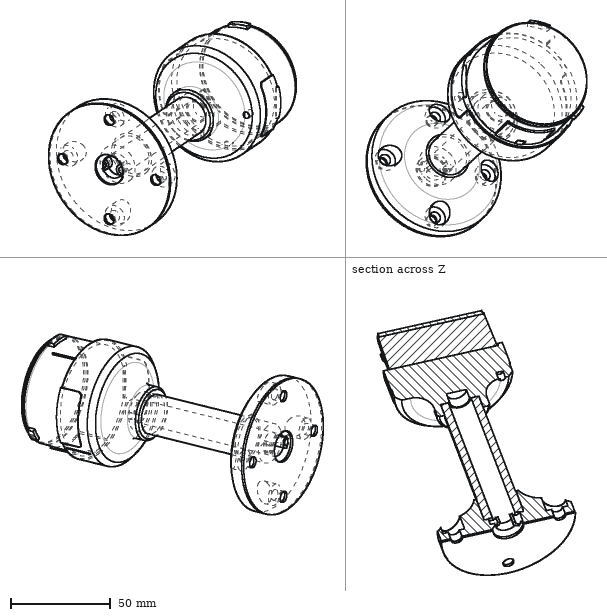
import cadquery as cq
import math


TOTAL_LENGTH = 141.0
FLANGE_RADIUS = 35.0

GASKET_THICKNESS = 1.3
RIM_TOP = 7.6
CONE_START_RADIUS = 32.1
CONE_START = 9.9
CONE_END_RADIUS = 20.3
CONE_END = 14.7
FLARE_MID_RADIUS = 15.1
FLARE_MID = 17.6
BASE_TOP_RADIUS = 11.5
BASE_TOP = 22.4
MOUNT_CIRCLE_RADIUS = 27.0
MOUNT_HOLE_COUNT = 4
MOUNT_HOLE_RADIUS = 2.8
HEAD_RECESS_RADIUS = 5.5
HEAD_RECESS_FLOOR = 5.6

CABLE_MOUTH_RADIUS = 8.0
CABLE_RADIUS = 5.8
BELL_PASSAGE_RADIUS = 5.1
MOUTH_DEPTH = 3.7
CABLE_END = 93.0

BOSS_RADIUS = 3.2
BOSS_OFFSET = 6.2
BOSS_HOLE_RADIUS = 1.8
BOSS_FACE = 2.4
DEEP_BOSS_FACE = 4.8

TUBE_RADIUS = 10.2
TUBE_START = 8.5
TUBE_END = 87.4

NECK_START = 79.7
NECK_RADIUS = 13.8
NECK_CHAMFER = 1.1
NECK_FLARE_START = 85.7
BELL_START = 95.3
BELL_CHAMFER = 3.0
BELL_RADIUS = 30.9
BELL_END = 116.7
BELL_EDGE_CHAMFER = 0.5
VENT_OFFSET = 24.4
VENT_RADIUS = 1.7
VENT_DEPTH = 4.2

PAD_RADIUS = 31.3
PAD_HALF_WIDTH = 14.8
PAD_START = 103.8
PAD_CORNER_RADIUS = 2.4
PAD_ROOT_RADIUS = 28.8
LATCH_END = 118.0
LATCH_WIDTH = 16.9
LATCH_OVERLAP = 1.4

GROOVE_ANGLE = 216.0
GROOVE_START = 100.7
GROOVE_END = 114.9
GROOVE_WIDTH = 0.4
GROOVE_DEPTH = 0.3

SLEEVE_BASE_RADIUS = 28.2
SLEEVE_TOP_RADIUS = 27.8
SLEEVE_TAPER_END = 137.9
SLEEVE_END = 138.7
CAP_RADIUS = 27.1
CAP_CHAMFER = 0.7
CAP_CHAMFER_START = 139.3

TAB_RADIUS = 29.6
TAB_START = 134.2
TAB_WIDTH = 10.7
SIDE_TAB_WIDTH = 7.3
TAB_ANGLE = 96.0
SIDE_TAB_ANGLE = 213.0
RIB_ANGLE = 117.3
RIB_RADIUS = 28.8
RIB_WIDTH = 0.5
RIB_END = 131.7
STOP_RADIUS = 29.2
PANEL_ANGLE = 270.0
STOP_WIDTH = 4.2
STOP_END = 121.0
PANEL_RADIUS = 28.9
PANEL_WIDTH = 25.4
PANEL_END = 133.4
LUG_ROOT_RADIUS = 24.0
TRIM_ALLOWANCE = 1.4


def cylinder(radius, start, end, x=0.0, z=0.0):
    """Cylinder along Y between two y positions."""
    return cq.Workplane("XZ", origin=(x, start, z)).circle(radius).extrude(start - end)


def revolved(profile):
    """Full turn of a closed (radius, y) profile around the Y axis."""
    return profile.close().revolve(360, (0, 0), (0, 1))


def radial_block(angle, width, inner_radius, outer_radius, start, end):
    """Block reaching outward at an angle in the XZ plane, with a round outer face."""
    block = (
        cq.Workplane("XY")
        .box(outer_radius - inner_radius + TRIM_ALLOWANCE, end - start, width, centered=(False, False, True))
        .translate((inner_radius, start, 0))
        .rotate((0, 0, 0), (0, 1, 0), -angle)
    )
    return block.intersect(cylinder(outer_radius, start, end))


def mount_positions():
    """(x, z) centres of the mounting holes."""
    for index in range(MOUNT_HOLE_COUNT):
        angle = 2 * math.pi * index / MOUNT_HOLE_COUNT
        yield MOUNT_CIRCLE_RADIUS * math.cos(angle), MOUNT_CIRCLE_RADIUS * math.sin(angle)


def cable_mouth():
    """Straight opening through the gasket, then a cone that narrows to the cable passage."""
    return revolved(
        cq.Workplane("XY")
        .moveTo(0, 0)
        .lineTo(CABLE_MOUTH_RADIUS, 0)
        .lineTo(CABLE_MOUTH_RADIUS, GASKET_THICKNESS)
        .lineTo(CABLE_RADIUS, MOUTH_DEPTH)
        .lineTo(0, MOUTH_DEPTH)
    )


def make_gasket():
    gasket = cylinder(FLANGE_RADIUS, 0, GASKET_THICKNESS).cut(cable_mouth())
    for x, z in mount_positions():
        gasket = gasket.cut(cylinder(MOUNT_HOLE_RADIUS, 0, GASKET_THICKNESS, x, z))
    return gasket


def make_base():
    base = revolved(
        cq.Workplane("XY")
        .moveTo(0, GASKET_THICKNESS)
        .lineTo(FLANGE_RADIUS, GASKET_THICKNESS)
        .lineTo(FLANGE_RADIUS, RIM_TOP)
        .lineTo(CONE_START_RADIUS, CONE_START)
        .lineTo(CONE_END_RADIUS, CONE_END)
        .threePointArc((FLARE_MID_RADIUS, FLARE_MID), (BASE_TOP_RADIUS, BASE_TOP))
        .lineTo(0, BASE_TOP)
    )
    for x, z in mount_positions():
        base = base.cut(cylinder(MOUNT_HOLE_RADIUS, 0, BASE_TOP, x, z))
        base = base.cut(cylinder(HEAD_RECESS_RADIUS, HEAD_RECESS_FLOOR, BASE_TOP, x, z))
    base = base.cut(cable_mouth()).cut(cylinder(CABLE_RADIUS, 0, BASE_TOP))
    for x, face in ((BOSS_OFFSET, BOSS_FACE), (-BOSS_OFFSET, DEEP_BOSS_FACE)):
        base = base.union(cylinder(BOSS_RADIUS, face, TUBE_START, x))
        base = base.cut(cylinder(BOSS_HOLE_RADIUS, face, TUBE_START, x))
    return base.cut(cylinder(TUBE_RADIUS, TUBE_START, BASE_TOP))


def make_tube():
    return cylinder(TUBE_RADIUS, TUBE_START, TUBE_END).cut(cylinder(CABLE_RADIUS, TUBE_START, TUBE_END))


def side_pads():
    """Raised pads on the +X and -X sides of the bell, rounded at their two lower corners."""
    ring = cylinder(PAD_RADIUS, PAD_START, BELL_END).cut(cylinder(PAD_ROOT_RADIUS, PAD_START, BELL_END))
    outline = (
        cq.Workplane("XY")
        .box(2 * PAD_RADIUS, BELL_END - PAD_START, 2 * PAD_HALF_WIDTH, centered=(True, False, True))
        .edges("|X and <Y")
        .fillet(PAD_CORNER_RADIUS)
        .translate((0, PAD_START, 0))
    )
    return ring.intersect(outline)


def latch():
    """Tongue that carries the +X pad past the end of the bell."""
    return radial_block(0, LATCH_WIDTH, PAD_ROOT_RADIUS, PAD_RADIUS, BELL_END - LATCH_OVERLAP, LATCH_END)


def make_bell():
    flare_radius = BELL_START - NECK_FLARE_START
    flare_end_radius = NECK_RADIUS + flare_radius
    flare_mid_offset = flare_radius * math.sin(math.pi / 4)
    flare_mid = (flare_end_radius - flare_mid_offset, NECK_FLARE_START + flare_mid_offset)
    bell = revolved(
        cq.Workplane("XY")
        .moveTo(0, NECK_START)
        .lineTo(NECK_RADIUS - NECK_CHAMFER, NECK_START)
        .lineTo(NECK_RADIUS, NECK_START + NECK_CHAMFER)
        .lineTo(NECK_RADIUS, NECK_FLARE_START)
        .threePointArc(flare_mid, (flare_end_radius, BELL_START))
        .lineTo(BELL_RADIUS - BELL_CHAMFER, BELL_START)
        .lineTo(BELL_RADIUS, BELL_START + BELL_CHAMFER)
        .lineTo(BELL_RADIUS, BELL_END - BELL_EDGE_CHAMFER)
        .lineTo(BELL_RADIUS - BELL_EDGE_CHAMFER, BELL_END)
        .lineTo(0, BELL_END)
    )
    bell = bell.union(side_pads()).union(latch())
    bell = bell.cut(cylinder(TUBE_RADIUS, NECK_START, TUBE_END))
    bell = bell.cut(cylinder(BELL_PASSAGE_RADIUS, TUBE_END, CABLE_END))
    bell = bell.cut(cylinder(VENT_RADIUS, BELL_START, BELL_START + VENT_DEPTH, VENT_OFFSET))
    groove_floor = BELL_RADIUS - GROOVE_DEPTH
    return bell.cut(
        radial_block(GROOVE_ANGLE, GROOVE_WIDTH, groove_floor, PAD_RADIUS, GROOVE_START, GROOVE_END)
    )


def make_sleeve():
    sleeve = revolved(
        cq.Workplane("XY")
        .moveTo(0, BELL_END)
        .lineTo(SLEEVE_BASE_RADIUS, BELL_END)
        .lineTo(SLEEVE_TOP_RADIUS, SLEEVE_TAPER_END)
        .lineTo(SLEEVE_TOP_RADIUS, SLEEVE_END)
        .lineTo(0, SLEEVE_END)
    )
    lugs = (
        (TAB_ANGLE, TAB_WIDTH, TAB_RADIUS, TAB_START, SLEEVE_TAPER_END),
        (SIDE_TAB_ANGLE, SIDE_TAB_WIDTH, TAB_RADIUS, TAB_START, SLEEVE_TAPER_END),
        (RIB_ANGLE, RIB_WIDTH, RIB_RADIUS, BELL_END, RIB_END),
        (PANEL_ANGLE, PANEL_WIDTH, PANEL_RADIUS, BELL_END, PANEL_END),
        (PANEL_ANGLE, STOP_WIDTH, STOP_RADIUS, BELL_END, STOP_END),
    )
    for angle, width, radius, start, end in lugs:
        sleeve = sleeve.union(radial_block(angle, width, LUG_ROOT_RADIUS, radius, start, end))
    return sleeve


def make_cap():
    return revolved(
        cq.Workplane("XY")
        .moveTo(0, SLEEVE_END)
        .lineTo(SLEEVE_TOP_RADIUS, SLEEVE_END)
        .lineTo(SLEEVE_TOP_RADIUS, CAP_CHAMFER_START)
        .lineTo(CAP_RADIUS, CAP_CHAMFER_START + CAP_CHAMFER)
        .lineTo(CAP_RADIUS, TOTAL_LENGTH)
        .lineTo(0, TOTAL_LENGTH)
    )


gasket = make_gasket()
base = make_base()
tube = make_tube()
bell = make_bell()
sleeve = make_sleeve()
cap = make_cap()

result = cq.Compound.makeCompound(
    [gasket.val(), base.val(), tube.val(), bell.val(), sleeve.val(), cap.val()]
)